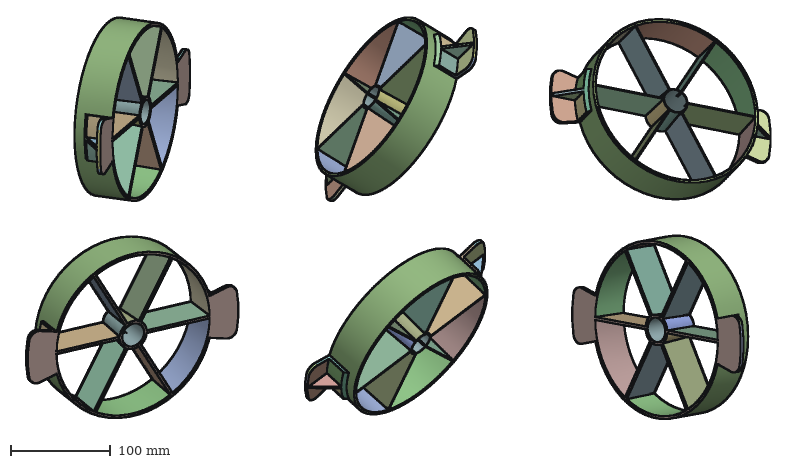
import cadquery as cq
import math

depth = 40.0
ring_radius = 180.0 / 2
ring_wall = 3.0
bore_radius = 25.0 / 2
hub_edge_wall = 0.5
hub_back_wall = 3.0

blade_count = 6
blade_edge_thickness = 1.0
blade_back_thickness = 3.0

handle_radius = 119.8
handle_half_angle = math.radians(15)
handle_corner_radius = 9.5
plate_thickness = 3.8
pad_radius = 94.0
rib_thickness = 3.5
slope_start_x = 11.0
slope_end_radius = 117.5

ring_inner_radius = ring_radius - ring_wall
ring_mid_radius = ring_radius - ring_wall / 2
plate_front_x = depth - plate_thickness


def cylinder(radius):
    return cq.Workplane("YZ").circle(radius).extrude(depth)


def make_ring():
    return cylinder(ring_radius).cut(cylinder(ring_inner_radius))


def make_hub():
    """Solid cone frustum, bored later together with the blades."""
    edge_radius = bore_radius + hub_edge_wall
    back_radius = bore_radius + hub_back_wall
    profile = [(0, 0), (0, edge_radius), (depth, back_radius), (depth, 0)]
    return cq.Workplane("XY").polyline(profile).close().revolve(360, (0, 0, 0), (1, 0, 0))


def make_blade(angle):
    """Tapered blade from the axis into the ring wall."""
    half_edge = blade_edge_thickness / 2
    half_back = blade_back_thickness / 2
    section = [(0, -half_edge), (depth, -half_back), (depth, half_back), (0, half_edge)]
    blade = cq.Workplane("XZ").polyline(section).close().extrude(-ring_mid_radius)
    return blade.rotate((0, 0, 0), (1, 0, 0), angle)


def make_sector(radius, start_x):
    """Sector centred on +Y, from start_x to the back face."""
    y = radius * math.cos(handle_half_angle)
    z = radius * math.sin(handle_half_angle)
    sector = (
        cq.Workplane("YZ", origin=(start_x, 0, 0))
        .lineTo(y, -z)
        .threePointArc((radius, 0), (y, z))
        .close()
    )
    return sector.extrude(depth - start_x)


def make_slope_cone():
    """Conical envelope that slopes the front of both the pad and the rib."""
    slope = (slope_end_radius - ring_radius) / (plate_front_x - slope_start_x)
    inner_x = slope_start_x - ring_wall / slope
    points = [
        (inner_x, ring_inner_radius),
        (plate_front_x, slope_end_radius),
        (depth, slope_end_radius),
        (depth, ring_inner_radius),
    ]
    return cq.Workplane("XY").polyline(points).close().revolve(360, (0, 0, 0), (1, 0, 0))


def make_handle():
    """Handle on the +Y side: end plate, curved pad on the ring and central rib."""
    corners = cq.selectors.BoxSelector(
        (0, ring_radius, -handle_radius), (depth, handle_radius, handle_radius)
    )
    plate = make_sector(handle_radius, plate_front_x).edges("|X").edges(corners)
    plate = plate.fillet(handle_corner_radius)

    slope_cone = make_slope_cone()
    pad = make_sector(pad_radius, 0).intersect(slope_cone)

    rib_blank = cq.Workplane("XY").box(depth, handle_radius, rib_thickness, centered=(False, False, True))
    rib = rib_blank.intersect(slope_cone)
    return plate.union(pad).union(rib).cut(cylinder(ring_mid_radius))


body = make_hub()
for index in range(blade_count):
    body = body.union(make_blade(index * 360 / blade_count))
body = body.cut(cylinder(bore_radius)).union(make_ring())

handle = make_handle()
result = body.union(handle).union(handle.mirror("XZ"))